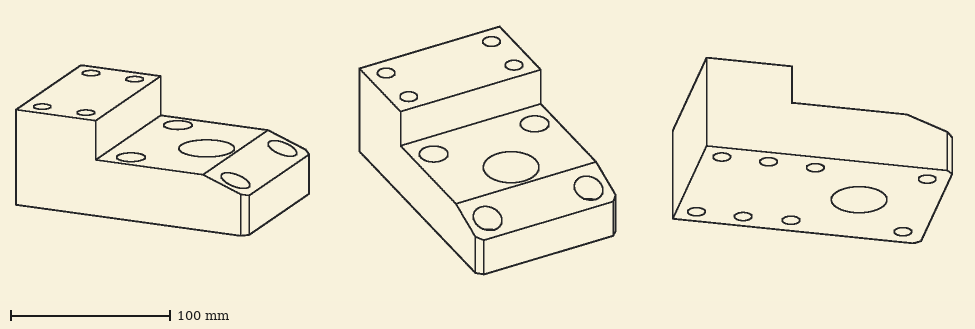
import cadquery as cq

LENGTH = 159.0
WIDTH = 100.0
HEIGHT = 63.0

TALL_LENGTH = 55.0
LOW_HEIGHT = 37.0
SLOPE_LENGTH = 30.0
SLOPE_DROP = 11.0
CORNER_CHAMFER = 4.0

BOLT_HOLE_DIAMETER = 11.0
TALL_HOLE_FIRST_X = 12.5
TALL_HOLE_SPACING_X = 30.0
TALL_HOLE_SPACING_Y = 75.0

COUNTERBORE_DIAMETER = 18.0
COUNTERBORE_DEPTH = 20.0
COUNTERBORE_FLOOR = LOW_HEIGHT - COUNTERBORE_DEPTH
MAIN_BORE_DIAMETER = 35.0
MAIN_BORE_X = 109.0
COUNTERBORE_SPACING = 72.0


def rectangle_points(center_x, spacing_x, spacing_y):
    """Four corner positions of a rectangle centred on the X axis."""
    return [
        (center_x + side_x * spacing_x / 2, side_y * spacing_y / 2)
        for side_x in (-1, 1)
        for side_y in (-1, 1)
    ]


def vertical_cutters(points, diameter, floor=0.0):
    """Cylinders from the floor level up to the top of the part."""
    return (
        cq.Workplane("XY", origin=(0, 0, floor))
        .pushPoints(points)
        .circle(diameter / 2)
        .extrude(HEIGHT - floor)
    )


def stepped_body():
    """Stepped block with a sloped low end and chamfered end corners."""
    profile = [
        (0, 0),
        (LENGTH, 0),
        (LENGTH, LOW_HEIGHT - SLOPE_DROP),
        (LENGTH - SLOPE_LENGTH, LOW_HEIGHT),
        (TALL_LENGTH, LOW_HEIGHT),
        (TALL_LENGTH, HEIGHT),
        (0, HEIGHT),
    ]
    body = cq.Workplane("XZ").polyline(profile).close().extrude(WIDTH / 2, both=True)
    return body.faces(">X").edges("|Z").chamfer(CORNER_CHAMFER)


tall_hole_points = rectangle_points(
    TALL_HOLE_FIRST_X + TALL_HOLE_SPACING_X / 2, TALL_HOLE_SPACING_X, TALL_HOLE_SPACING_Y
)
counterbore_points = rectangle_points(MAIN_BORE_X, COUNTERBORE_SPACING, COUNTERBORE_SPACING)

result = (
    stepped_body()
    .cut(vertical_cutters([(MAIN_BORE_X, 0)], MAIN_BORE_DIAMETER))
    .cut(vertical_cutters(tall_hole_points + counterbore_points, BOLT_HOLE_DIAMETER))
    .cut(vertical_cutters(counterbore_points, COUNTERBORE_DIAMETER, COUNTERBORE_FLOOR))
)